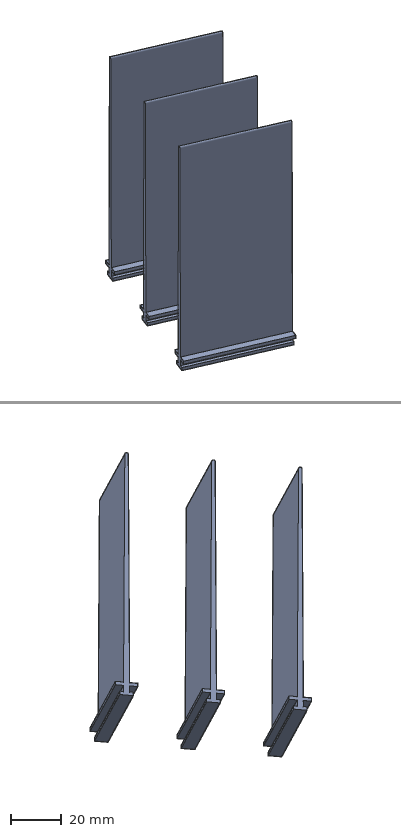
import cadquery as cq

HEIGHT = 103.8
DEPTH = 48.0
PANEL_COUNT = 3
PANEL_PITCH = 35.0

FOOT_WIDTH = 5.5
FOOT_THICKNESS = 1.5

FLANGE_WIDTH = 9.0
FLANGE_BOTTOM = 4.0
FLANGE_THICKNESS = 1.5

WEB_WIDTH = 2.5
BLADE_BASE_WIDTH = WEB_WIDTH
BLADE_TIP_WIDTH = 1.5
TIP_RADIUS = BLADE_TIP_WIDTH / 2


def centered_bar(width, bottom, top):
    """Full-depth rectangular bar, centered on X and Y."""
    return (
        cq.Workplane("XY")
        .workplane(offset=bottom)
        .rect(width, DEPTH)
        .extrude(top - bottom)
    )


def tapered_blade(bottom):
    """Blade that narrows upward and ends in a rounded tip."""
    shoulder = HEIGHT - TIP_RADIUS
    return (
        cq.Workplane("XZ")
        .moveTo(-BLADE_BASE_WIDTH / 2, bottom)
        .lineTo(BLADE_BASE_WIDTH / 2, bottom)
        .lineTo(BLADE_TIP_WIDTH / 2, shoulder)
        .threePointArc((0, HEIGHT), (-BLADE_TIP_WIDTH / 2, shoulder))
        .close()
        .extrude(DEPTH / 2, both=True)
    )


def divider_panel():
    """One panel: foot, web, flange and blade as a single solid."""
    flange_top = FLANGE_BOTTOM + FLANGE_THICKNESS
    foot = centered_bar(FOOT_WIDTH, 0, FOOT_THICKNESS)
    web = centered_bar(WEB_WIDTH, FOOT_THICKNESS, FLANGE_BOTTOM)
    flange = centered_bar(FLANGE_WIDTH, FLANGE_BOTTOM, flange_top)
    return foot.union(web).union(flange).union(tapered_blade(flange_top))


panels = []
for index in range(PANEL_COUNT):
    x_position = (index - (PANEL_COUNT - 1) / 2) * PANEL_PITCH
    panels.append(divider_panel().translate((x_position, 0, 0)))

result = cq.Compound.makeCompound([panel.val() for panel in panels])